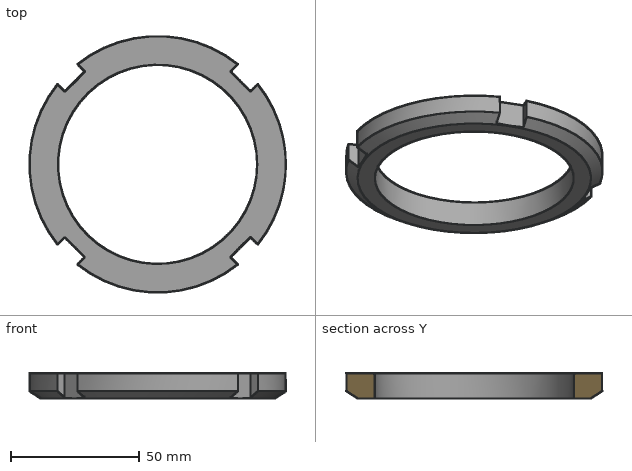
import cadquery as cq

outer_diameter = 100.0
bore_diameter = 77.5
thickness = 10.0

bevel_height = 2.92
bevel_width = 4.5

slot_count = 4
first_slot_angle = 45.0
slot_width = 11.0
slot_floor_distance = 45.7

outer_radius = outer_diameter / 2
bore_radius = bore_diameter / 2


def make_ring():
    """Revolve the ring section, with the bevel at its lower outer corner."""
    section = (
        cq.Workplane("XZ")
        .moveTo(bore_radius, 0)
        .lineTo(outer_radius - bevel_width, 0)
        .lineTo(outer_radius, bevel_height)
        .lineTo(outer_radius, thickness)
        .lineTo(bore_radius, thickness)
        .close()
    )
    return section.revolve(360, (0, 0, 0), (0, 1, 0))


def make_slot_cutter(angle):
    """Block that cuts one slot through the full thickness at the given angle."""
    block_length = outer_radius
    return (
        cq.Workplane("XY")
        .box(block_length, slot_width, thickness, centered=(False, True, False))
        .translate((slot_floor_distance, 0, 0))
        .rotate((0, 0, 0), (0, 0, 1), angle)
    )


result = make_ring()
for index in range(slot_count):
    result = result.cut(make_slot_cutter(first_slot_angle + index * 360 / slot_count))